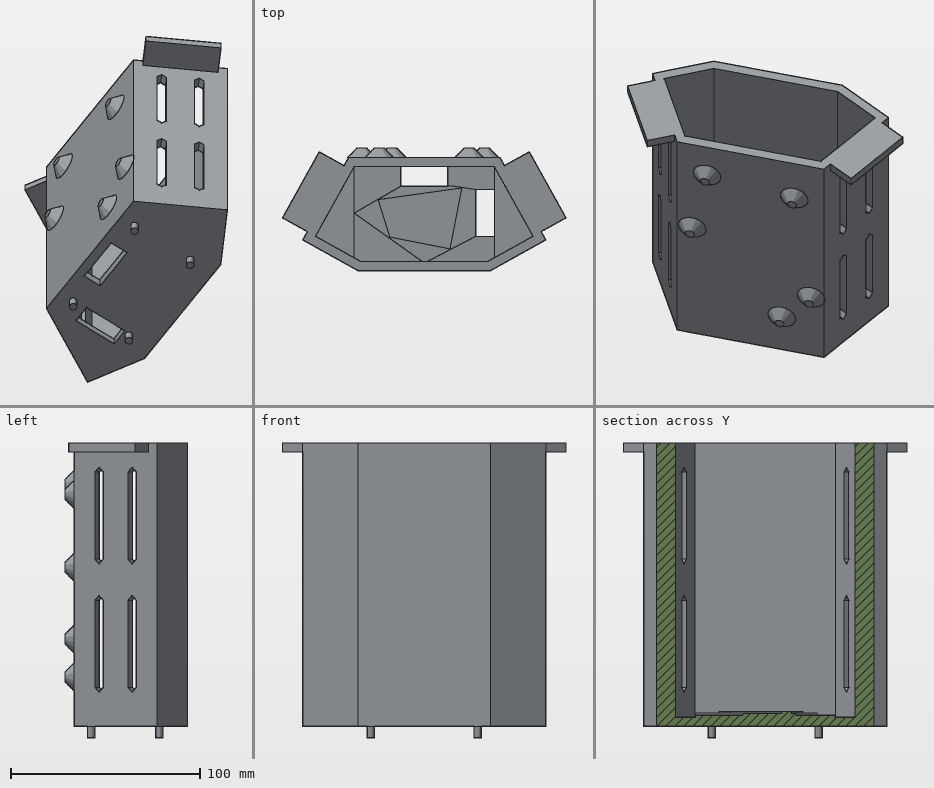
import cadquery as cq
import math

height = 150.0
depth = 60.0
front_width = 70.0
back_width = 80.0
side_length = 50.0
wall = 5.0

tab_reach = 15.0
tab_margin = 5.0
tab_thickness = 5.0

slot_width = 5.0
slot_length = 51.0
slot_offsets = (15.0, side_length - 15.0)
slot_centers_z = (43.7, 111.5)

floor_thickness = 5.0
step_height = 1.0
back_hole_depth = 10.3
side_hole_width = 9.8
lower_plate_left_y = 30.5
lower_plate_front_x = (-1.2, 1.8)
lower_plate_back_x = 15.7
upper_plate_corners = ((-24.4, 37.6), (-18.2, 17.8), (13.6, 11.6), (19.9, 43.8))

knob_height = 5.0
knob_tip_radius = 2.5
knob_base_radius = knob_tip_radius + knob_height
knob_centers = (
    (23.7, 128.0),
    (-23.8, 122.7),
    (31.8, 84.2),
    (-33.0, 46.2),
    (-17.0, 26.2),
)

pin_diameter = 4.0
pin_length = 6.0
pin_x = 28.2
pin_rows_y = (15.0, 51.0)

corner_step = (back_width - front_width) / 2
diagonal = math.hypot(corner_step, depth)
side_angle = math.acos(side_length / diagonal) - math.atan2(corner_step, depth)
along_x = math.sin(side_angle)
along_y = -math.cos(side_angle)
normal_x = math.cos(side_angle)
normal_y = math.sin(side_angle)
corner_x = back_width / 2 + side_length * along_x
corner_y = depth + side_length * along_y

inner_back_x = back_width / 2 - wall * math.tan((math.pi / 2 - side_angle) / 2)
inner_back_y = depth - wall
hole_length = 2 * inner_back_x / 3
side_hole_y = corner_y + wall * (normal_x - normal_y)


def prism(points, bottom, thickness):
    """Extrude a closed XY outline upward from the given height."""
    return cq.Workplane("XY").workplane(offset=bottom).polyline(points).close().extrude(thickness)


def both_sides(body):
    """Return the body joined with its mirror image across the YZ plane."""
    return body.union(body.mirror("YZ"))


def side_point(distance, outward):
    """XY point on the +X side wall, measured from its back corner and off its face."""
    return (
        back_width / 2 + distance * along_x + outward * normal_x,
        depth + distance * along_y + outward * normal_y,
    )


def make_outline():
    right = [(front_width / 2, 0), (corner_x, corner_y), (back_width / 2, depth)]
    left = [(-x, y) for x, y in reversed(right)]
    return cq.Workplane("XY").polyline(right + left).close()


def make_cavity():
    return make_outline().offset2D(-wall, "intersection").extrude(height)


def make_tabs():
    near = tab_margin
    far = side_length - tab_margin
    corners = [
        side_point(near, -wall / 2),
        side_point(near, tab_reach),
        side_point(far, tab_reach),
        side_point(far, -wall / 2),
    ]
    return both_sides(prism(corners, height - tab_thickness, tab_thickness))


def make_slots():
    half_width = slot_width / 2
    half_length = slot_length / 2
    shoulder = half_length - half_width
    outline = [
        (-half_width, -shoulder),
        (0, -half_length),
        (half_width, -shoulder),
        (half_width, shoulder),
        (0, half_length),
        (-half_width, shoulder),
    ]
    slots = cq.Workplane("XY")
    for offset in slot_offsets:
        x, y = side_point(offset, wall)
        for center_z in slot_centers_z:
            plane = cq.Plane((x, y, center_z), (along_x, along_y, 0), (-normal_x, -normal_y, 0))
            slots = slots.add(cq.Workplane(plane).polyline(outline).close().extrude(3 * wall))
    return both_sides(slots.combine())


def make_floor(cavity):
    """Floor with a raised middle strip, two through holes and two stacked plates.

    Each plate stands one step above the level around it and is rooted one step below.
    """
    strip_top = floor_thickness + step_height
    hole_front = inner_back_y - back_hole_depth
    hole_inner = inner_back_x - side_hole_width
    hole_back = side_hole_y + hole_length

    strip = cq.Workplane("XY").box(2 * inner_back_x, depth, strip_top, centered=(True, False, False))
    back_hole = cq.Workplane("XY").box(
        hole_length, back_hole_depth, strip_top, centered=(True, False, False)
    ).translate((0, hole_front, 0))
    side_hole = cq.Workplane("XY").box(
        side_hole_width, hole_length, strip_top, centered=False
    ).translate((hole_inner, side_hole_y, 0))

    lower_plate = [
        (-inner_back_x, lower_plate_left_y),
        *((x, wall) for x in lower_plate_front_x),
        (hole_inner, side_hole_y),
        (hole_inner, hole_back),
        (lower_plate_back_x, hole_front),
        (-hole_length / 2, hole_front),
    ]

    floor = cq.Workplane("XY").box(2 * corner_x, depth, floor_thickness, centered=(True, False, False))
    floor = floor.union(strip).cut(back_hole).cut(side_hole)
    floor = floor.union(prism(lower_plate, floor_thickness, 2 * step_height))
    floor = floor.union(prism(upper_plate_corners, strip_top, 2 * step_height))
    return floor.intersect(cavity)


def make_knob(x, z):
    cone = cq.Solid.makeCone(
        knob_base_radius, knob_tip_radius, knob_height, cq.Vector(x, depth, z), cq.Vector(0, 1, 0)
    )
    return cq.Workplane(cone)


def make_pins():
    spots = [(x, y) for x in (-pin_x, pin_x) for y in pin_rows_y]
    return cq.Workplane("XY").pushPoints(spots).circle(pin_diameter / 2).extrude(-pin_length)


cavity = make_cavity()
shell = make_outline().extrude(height).cut(cavity).union(make_tabs())
result = shell.cut(make_slots()).union(make_floor(cavity))
for knob_x, knob_z in knob_centers:
    result = result.union(make_knob(knob_x, knob_z))
result = result.union(make_pins())